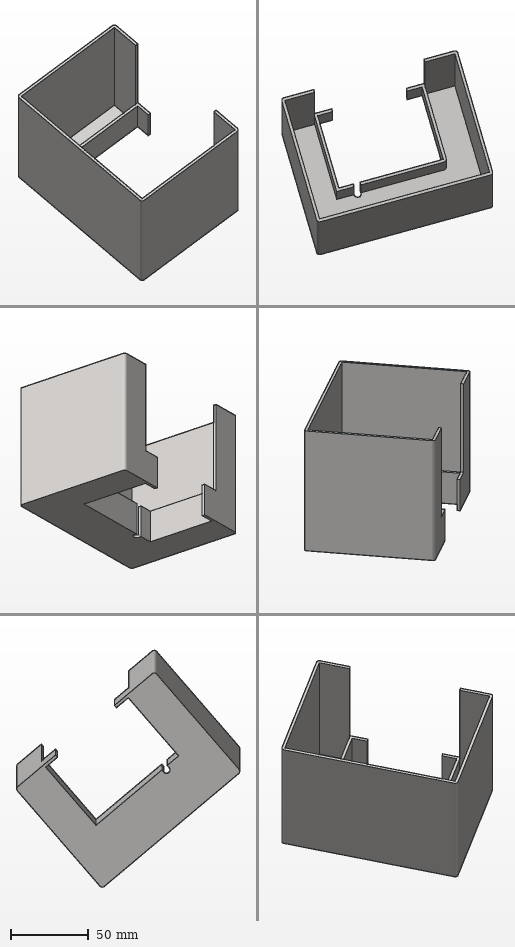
import cadquery as cq

length = 118.0
depth = 86.0
height = 84.0

wall = 2.0
corner_radius = wall

side_width = 22.0
recess_depth = 54.0
low_wall_height = 22.0
lip_reach = 10.0

slot_width = 4.5
slot_offset = 36.0

recess_left = side_width
recess_right = length - side_width
recess_front = depth - recess_depth
lip_length = wall + lip_reach


def block(x_min, x_max, y_min, y_max, z_min, z_max):
    """Axis-aligned box between the given limits."""
    size = (x_max - x_min, y_max - y_min, z_max - z_min)
    return cq.Workplane("XY").box(*size, centered=False).translate((x_min, y_min, z_min))


def make_tub():
    """Open-topped box with rounded outer vertical edges and sharp inner corners."""
    outer = block(0, length, 0, depth, 0, height).edges("|Z").fillet(corner_radius)
    cavity = block(wall, length - wall, wall, depth - wall, wall, height)
    return outer.cut(cavity)


def make_low_walls():
    """U-shaped wall around the recess, with one outer corner rounded, and its two lips."""
    outer = block(recess_left, recess_right, recess_front, depth, 0, low_wall_height)
    outer = outer.edges("|Z and >X and <Y").fillet(corner_radius)
    inner = block(
        recess_left + wall, recess_right - wall, recess_front + wall, depth, 0, low_wall_height
    )
    walls = outer.cut(inner)
    for lip_start in (recess_left, recess_right - lip_length):
        lip = block(lip_start, lip_start + lip_length, depth - wall, depth, 0, low_wall_height)
        walls = walls.union(lip)
    return walls


def make_recess_cut():
    """Space removed from the tub: floor inside the low walls and the back wall opening."""
    return block(recess_left, recess_right, recess_front + wall, depth, 0, height)


def make_cable_slot():
    """Vertical slot with a round end, open to the recess."""
    round_end = (
        cq.Workplane("XY")
        .center(slot_offset, recess_front)
        .circle(slot_width / 2)
        .extrude(low_wall_height)
    )
    throat = block(
        slot_offset - slot_width / 2,
        slot_offset + slot_width / 2,
        recess_front,
        recess_front + wall,
        0,
        low_wall_height,
    )
    return round_end.union(throat)


body = make_tub().cut(make_recess_cut()).union(make_low_walls())
result = body.cut(make_cable_slot())